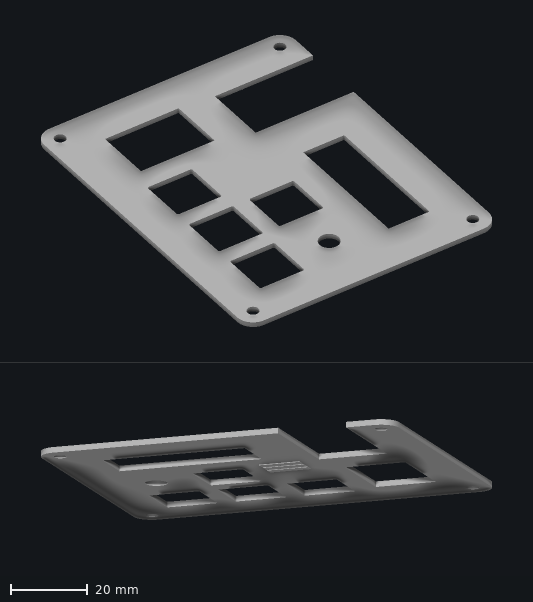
import cadquery as cq

PLATE_LENGTH = 99.0
PLATE_WIDTH = 79.3
PLATE_THICKNESS = 1.5
CORNER_RADIUS = 5.0
LEFT = -PLATE_LENGTH / 2
BACK = PLATE_WIDTH / 2

SCREW_HOLE_DIAMETER = 3.4
SCREW_SPACING_X = PLATE_LENGTH - 2 * CORNER_RADIUS
SCREW_SPACING_Y = PLATE_WIDTH - 2 * CORNER_RADIUS

NOTCH_WIDTH = 18.8
NOTCH_DEPTH = 30.9
NOTCH_LEFT = LEFT + 12.9

WIDE_WINDOW_LENGTH = 39.4
WIDE_WINDOW_WIDTH = 12.9
WIDE_WINDOW_LEFT = LEFT + 45.6
WIDE_WINDOW_BACK = BACK - 12.5

TALL_WINDOW_LENGTH = 16.6
TALL_WINDOW_WIDTH = 23.2
TALL_WINDOW_LEFT = LEFT + 11.8
TALL_WINDOW_BACK = BACK - 41.6

KEY_SIZE = 14.0
KEY_CORNER_RADIUS = 0.5
KEY_PITCH = 19.05
MIDDLE_KEY_X = LEFT + 61.15
FRONT_ROW_Y = BACK - 60.4
BACK_ROW_Y = FRONT_ROW_Y + KEY_PITCH
KEY_CENTRES = [
    (MIDDLE_KEY_X - KEY_PITCH, FRONT_ROW_Y),
    (MIDDLE_KEY_X, FRONT_ROW_Y),
    (MIDDLE_KEY_X + KEY_PITCH, FRONT_ROW_Y),
    (MIDDLE_KEY_X, BACK_ROW_Y),
]

SHAFT_HOLE_DIAMETER = 6.0
SHAFT_HOLE_X = LEFT + 80.6
SHAFT_HOLE_Y = BACK - 41.15

STRIP_HEIGHT = 0.2
STRIP_LENGTH = 11.2
STRIP_WIDTH = 2.3
STRIP_PITCH = 3.1
STRIP_COUNT = 3
STRIP_LEFT = LEFT + 37.2
FIRST_STRIP_BACK = BACK - 31.0


def make_plate():
    """Flat plate with rounded corners, underside at Z = 0."""
    plate = cq.Workplane("XY").rect(PLATE_LENGTH, PLATE_WIDTH).extrude(PLATE_THICKNESS)
    return plate.edges("|Z").fillet(CORNER_RADIUS)


def block_from_back_left(left, back, length, width):
    """Plate-thick block located by its left and back sides."""
    block = cq.Workplane("XY").box(length, width, PLATE_THICKNESS, centered=False)
    return block.translate((left, back - width, 0))


def make_key_cutters():
    """Slightly rounded square prisms for the key openings."""
    keys = cq.Workplane("XY").pushPoints(KEY_CENTRES).rect(KEY_SIZE, KEY_SIZE).extrude(PLATE_THICKNESS)
    return keys.edges("|Z").fillet(KEY_CORNER_RADIUS)


def make_screw_hole_cutters():
    """Cylinders for the four corner holes."""
    corners = cq.Workplane("XY").rect(SCREW_SPACING_X, SCREW_SPACING_Y, forConstruction=True).vertices()
    return corners.circle(SCREW_HOLE_DIAMETER / 2).extrude(PLATE_THICKNESS)


def make_shaft_hole_cutter():
    """Cylinder for the shaft hole."""
    centre = cq.Workplane("XY").center(SHAFT_HOLE_X, SHAFT_HOLE_Y)
    return centre.circle(SHAFT_HOLE_DIAMETER / 2).extrude(PLATE_THICKNESS)


def make_strips():
    """Row of strips hanging below the underside."""
    centre_x = STRIP_LEFT + STRIP_LENGTH / 2
    first_y = FIRST_STRIP_BACK - STRIP_WIDTH / 2
    centres = [(centre_x, first_y - index * STRIP_PITCH) for index in range(STRIP_COUNT)]
    return cq.Workplane("XY").pushPoints(centres).rect(STRIP_LENGTH, STRIP_WIDTH).extrude(-STRIP_HEIGHT)


notch = block_from_back_left(NOTCH_LEFT, BACK, NOTCH_WIDTH, NOTCH_DEPTH)
wide_window = block_from_back_left(
    WIDE_WINDOW_LEFT, WIDE_WINDOW_BACK, WIDE_WINDOW_LENGTH, WIDE_WINDOW_WIDTH
)
tall_window = block_from_back_left(
    TALL_WINDOW_LEFT, TALL_WINDOW_BACK, TALL_WINDOW_LENGTH, TALL_WINDOW_WIDTH
)

result = make_plate()
result = result.cut(notch).cut(wide_window).cut(tall_window)
result = result.cut(make_key_cutters())
result = result.cut(make_screw_hole_cutters())
result = result.cut(make_shaft_hole_cutter())
result = result.union(make_strips())